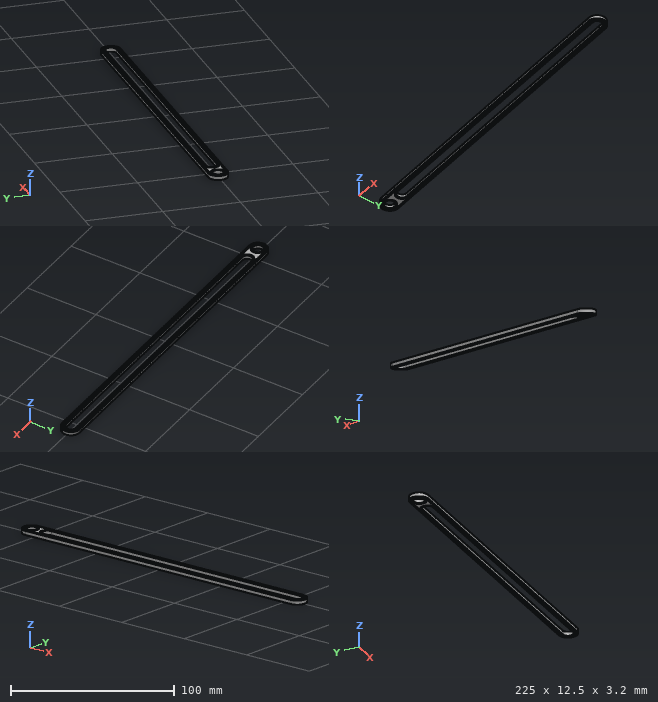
import cadquery as cq

length = 225.0
width = 12.5
thickness = 3.2
opening_width = 7.0
slot_setback = 15.3
rim = 1.1
recess_depth = 0.2
edge_chamfer = 0.34

end_center = (length - width) / 2
hole_x = -end_center
slot_left = slot_setback - length / 2
slot_right = end_center + opening_width / 2
slot_length = slot_right - slot_left
slot_x = (slot_left + slot_right) / 2


def outline(inset, bottom, height):
    """Round-ended bar shape, shrunk on all sides by the inset."""
    return (
        cq.Workplane("XY", origin=(0, 0, bottom))
        .slot2D(length - 2 * inset, width - 2 * inset)
        .extrude(height)
    )


def openings(margin, bottom, height):
    """Round hole and long slot, each concentric with one bar end, grown by the margin."""
    base = cq.Workplane("XY", origin=(0, 0, bottom))
    hole = base.center(hole_x, 0).circle(opening_width / 2 + margin).extrude(height)
    slot = (
        base.center(slot_x, 0)
        .slot2D(slot_length + 2 * margin, opening_width + 2 * margin)
        .extrude(height)
    )
    return hole.union(slot)


def recess(bottom):
    """Shallow area of one face that leaves a rim along the outline and each opening."""
    return outline(rim, bottom, recess_depth).cut(openings(rim, bottom, recess_depth))


link = outline(0, -thickness / 2, thickness).cut(openings(0, -thickness / 2, thickness))
link = link.faces("|Z").edges().chamfer(edge_chamfer)

for recess_bottom in (thickness / 2 - recess_depth, -thickness / 2):
    link = link.cut(recess(recess_bottom))

result = link